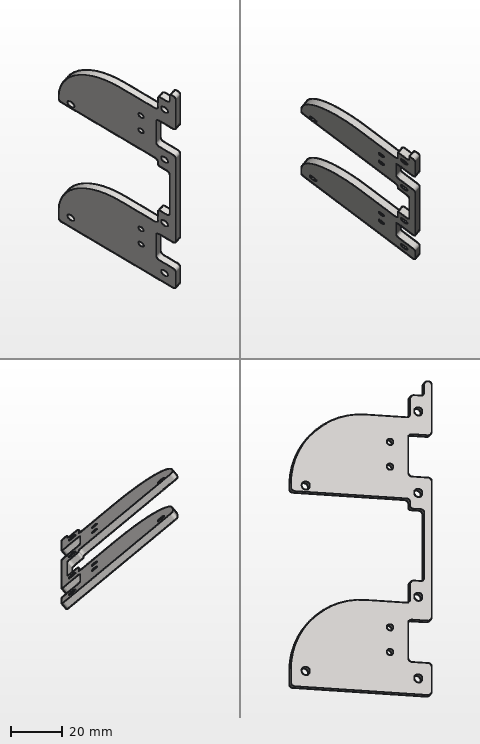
import cadquery as cq

width = 56.9
height = 127.0
thickness = 3.0

panel_pitch = 75.0
panel_top = 36.8
panel_radius = 30.0
upper_panel_lift = 4.0

spine_left = width - 3.0
tab_left = width - 8.8
tab_top = 46.0
notch_left = width - 9.5
notch_bottom = 13.0
notch_top = 30.1

corner_radius = 1.5
tip_radius = 1.4
tab_foot_radius = 1.0

mount_diameter = 3.3
mount_right = width - 5.5
mount_left = width - 50.9
mount_low = 6.5
mount_high = 39.5
mount_points = [(mount_left, mount_low), (mount_right, mount_low), (mount_right, mount_high)]
small_diameter = 2.5
small_x = width - 16.9
small_points = [(small_x, 16.4), (small_x, 26.4)]


def raised(points):
    """Shift panel points to the upper panel."""
    return [(x, z + panel_pitch) for x, z in points]


def round_corners(body, points, radius):
    """Round the through-thickness edges at the given (X, Z) corners."""
    edges = cq.Workplane("XZ")
    for x, z in points:
        nearest = cq.selectors.NearestToPointSelector((x, thickness / 2, z))
        edges = edges.add(body.edges("|Y").edges(nearest))
    return body.newObject(edges.vals()).fillet(radius)


def drill(body, points, diameter):
    """Cut round holes through the plate in both panels."""
    cutters = (
        cq.Workplane("XZ")
        .pushPoints(points + raised(points))
        .circle(diameter / 2)
        .extrude(-thickness)
    )
    return body.cut(cutters)


notch = [
    (width, notch_bottom),
    (notch_left, notch_bottom),
    (notch_left, notch_top),
    (width, notch_top),
]
shoulder = [
    (spine_left, tab_top),
    (tab_left, tab_top),
    (tab_left, panel_top),
]
panel_corner = [(0, panel_top)]
lower_base = [(0, 0), (width, 0)]
upper_base_z = panel_pitch + upper_panel_lift
upper_base = [(0, upper_base_z), (tab_left, upper_base_z)]
tab_foot = [(tab_left, panel_pitch)]
tab_root = [(spine_left, panel_pitch)]
tip = [(width, height), (spine_left, height)]

outline = (
    lower_base + notch + raised(notch) + tip
    + raised(shoulder) + raised(panel_corner)
    + upper_base + tab_foot + tab_root
    + shoulder + panel_corner
)
plate = cq.Workplane("XZ").polyline(outline).close().extrude(-thickness)

plate = round_corners(plate, panel_corner + raised(panel_corner), panel_radius)
small_corners = (
    lower_base + notch + raised(notch)
    + shoulder + raised(shoulder)
    + upper_base + tab_root
)
plate = round_corners(plate, small_corners, corner_radius)
plate = round_corners(plate, tab_foot, tab_foot_radius)
plate = round_corners(plate, tip, tip_radius)

plate = drill(plate, mount_points, mount_diameter)
result = drill(plate, small_points, small_diameter)